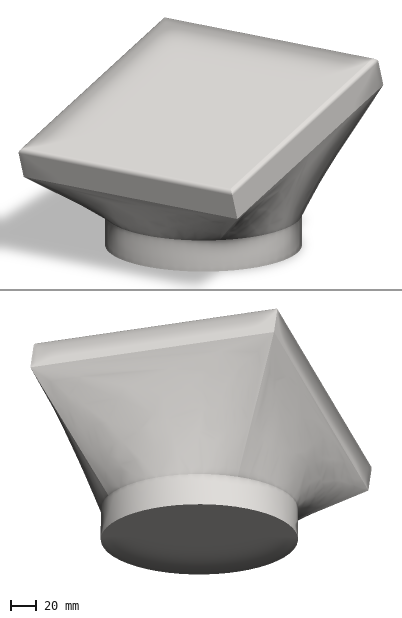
import cadquery as cq

collar_diameter = 152.5
collar_height = 25.0
plate_side = 203.2
plate_thickness = 25.0
plate_tilt = 18.0
edge_radius = 3.5
plate_center_z = 91.2

plate_plane = cq.Plane(origin=(0, 0, plate_center_z)).rotated((plate_tilt, 0, 0))


def make_collar():
    return cq.Workplane("XY").circle(collar_diameter / 2).extrude(collar_height)


def make_plate():
    """Tilted square plate with rounded edges around its upper face."""
    plate = cq.Workplane(plate_plane).rect(plate_side, plate_side).extrude(plate_thickness)
    upper_face = cq.DirectionMinMaxSelector(plate_plane.zDir, directionMax=True)
    return plate.faces(upper_face).edges().fillet(edge_radius)


def make_transition():
    """Straight-sided transition from the round collar to the square plate."""
    round_end = (
        cq.Workplane("XY", origin=(0, 0, collar_height))
        .circle(collar_diameter / 2)
        .wires()
        .val()
    )
    square_end = cq.Workplane(plate_plane).rect(plate_side, plate_side).wires().val()
    return cq.Workplane(cq.Solid.makeLoft([round_end, square_end], True))


result = make_collar().union(make_transition()).union(make_plate())